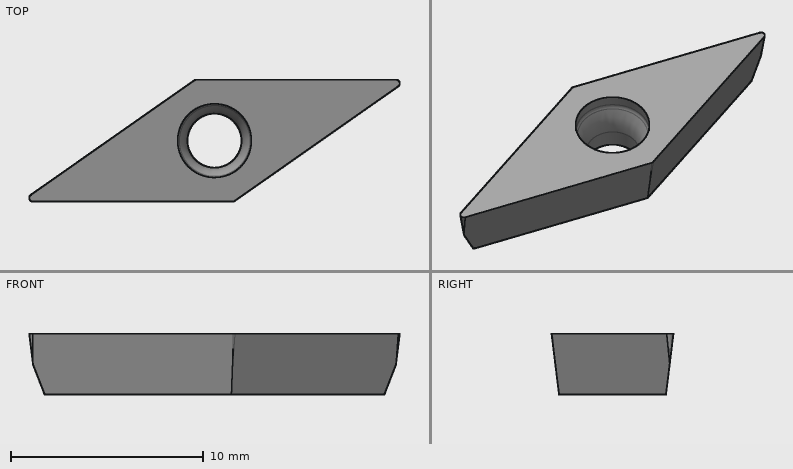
import cadquery as cq
import math

inscribed_circle = 6.35
thickness = 3.175
point_angle = 35.0
clearance_angle = 7.0
corner_radius = 0.198

bore_diameter = 2.8
mouth_diameter = 3.84
mouth_depth = 0.58
mouth_fillet_radius = 0.4
seat_curve_radius = 2.2


def make_body():
    """Rhombus with sides along X, rounded at the top and tapering inward to a smaller, sharp bottom."""
    angle = math.radians(point_angle)
    side = inscribed_circle / math.sin(angle)
    acute_x = side * (1 + math.cos(angle)) / 2
    obtuse_x = side * (1 - math.cos(angle)) / 2
    half_width = inscribed_circle / 2
    top_outline = (
        cq.Sketch()
        .polygon(
            [
                (-acute_x, -half_width),
                (obtuse_x, -half_width),
                (acute_x, half_width),
                (-obtuse_x, half_width),
                (-acute_x, -half_width),
            ]
        )
        .vertices()
        .fillet(corner_radius)
    )
    return (
        cq.Workplane("XY", origin=(0, 0, thickness))
        .placeSketch(top_outline)
        .extrude(-thickness, taper=clearance_angle)
    )


def make_screw_hole():
    """Straight mouth, concave fillet, then a convex seat that runs tangent into the bore."""
    bore_radius = bore_diameter / 2
    mouth_radius = mouth_diameter / 2
    fillet_center = (mouth_radius - mouth_fillet_radius, thickness - mouth_depth)

    radius_drop = mouth_radius - bore_radius
    tangent_angle = math.acos(1 - radius_drop / (mouth_fillet_radius + seat_curve_radius))
    curves_height = (mouth_fillet_radius + seat_curve_radius) * math.sin(tangent_angle)
    seat_center = (bore_radius + seat_curve_radius, fillet_center[1] - curves_height)

    def fillet_point(angle):
        return (
            fillet_center[0] + mouth_fillet_radius * math.cos(angle),
            fillet_center[1] - mouth_fillet_radius * math.sin(angle),
        )

    def seat_point(angle):
        return (
            seat_center[0] - seat_curve_radius * math.cos(angle),
            seat_center[1] + seat_curve_radius * math.sin(angle),
        )

    return (
        cq.Workplane("XZ")
        .moveTo(0, thickness)
        .lineTo(mouth_radius, thickness)
        .lineTo(*fillet_point(0))
        .threePointArc(fillet_point(tangent_angle / 2), fillet_point(tangent_angle))
        .threePointArc(seat_point(tangent_angle / 2), seat_point(0))
        .lineTo(bore_radius, 0)
        .lineTo(0, 0)
        .close()
        .revolve(360, (0, 0, 0), (0, 1, 0))
    )


result = make_body().cut(make_screw_hole()).solids()